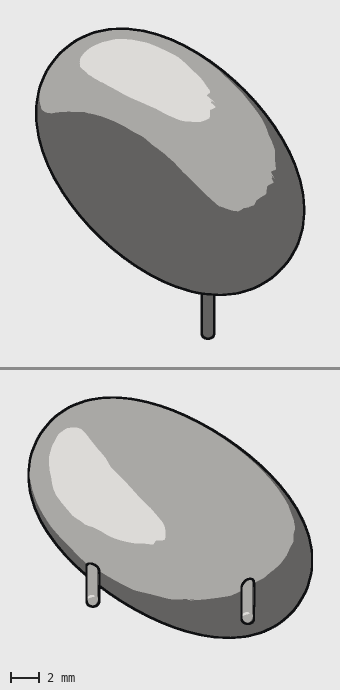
import cadquery as cq

body_diameter = 21.5
body_thickness = 7.9
rim_band_width = 0.2
rim_radius = (body_thickness - rim_band_width) / 2
body_center_z = body_diameter / 2

lead_diameter = 0.9
lead_pitch_x = 10.0
lead_pitch_y = 4.2
lead_length_below_body = 3.03
lead_end_fillet = 0.2
lead_top_z = body_center_z / 2


def make_body():
    """Disc with both rims rounded, leaving flat faces and a thin central band."""
    return (
        cq.Workplane("XZ", origin=(0, 0, body_center_z))
        .circle(body_diameter / 2)
        .extrude(body_thickness / 2, both=True)
        .edges("%CIRCLE")
        .fillet(rim_radius)
    )


def make_lead(x, y):
    """Round vertical lead with a rounded lower end."""
    return (
        cq.Workplane("XY", origin=(x, y, -lead_length_below_body))
        .circle(lead_diameter / 2)
        .extrude(lead_length_below_body + lead_top_z)
        .faces("<Z")
        .edges()
        .fillet(lead_end_fillet)
    )


result = make_body()
for side in (-1, 1):
    lead = make_lead(side * lead_pitch_x / 2, -side * lead_pitch_y / 2)
    result = result.union(lead)